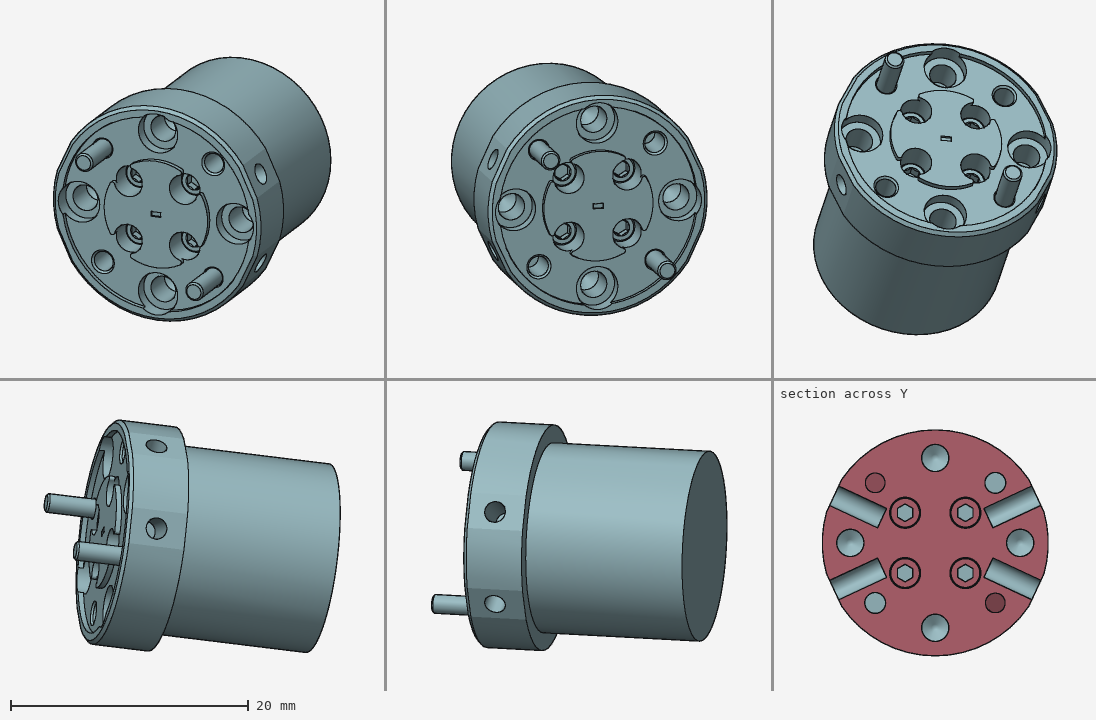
import cadquery as cq
import math


TOTAL_LENGTH = 22.27
PIN_PROJECTION = 3.65
FLANGE_DIAMETER = 19.05
FLANGE_THICKNESS = 5.08
FLANGE_CHAMFER = 0.3
BARREL_DIAMETER = 16.03

FLAT_ANGLE = 25.0
FLAT_DISTANCE = 9.4
SIDE_HOLE_DIAMETER = 1.78
SIDE_HOLE_DEPTH = 4.45

RECESS_DIAMETER = 17.2
RECESS_DEPTH = 0.47
BOSS_DIAMETER = 9.49
BOSS_NOTCH_OFFSET = 2.34
BOSS_CORNER_RADIUS = 0.2

MOUNT_RADIUS = 7.15
MOUNT_BORE_DIAMETER = 3.6
MOUNT_BORE_DEPTH = 1.6
MOUNT_HOLE_DIAMETER = 2.27
MOUNT_HOLE_DEPTH = 4.45
DRILL_POINT_ANGLE = 118.0
COUNTERSINK_ANGLE = 90.0

PIN_OFFSET = 5.05
PIN_DIAMETER = 1.6
PIN_CHAMFER = 0.15
PIN_HOLE_RIM_DIAMETER = 1.83
OPEN_HOLE_DIAMETER = 1.74
OPEN_HOLE_RIM_DIAMETER = 2.1
ALIGNMENT_HOLE_DEPTH = 4.0

SCREW_OFFSET = 2.54
SCREW_BORE_DIAMETER = 2.58
SCREW_TOP_DEPTH = 2.23
SCREW_HEAD_DIAMETER = 2.45
SCREW_HEAD_HEIGHT = 1.34
SCREW_HEAD_CHAMFER = 0.13
SOCKET_ACROSS_FLATS = 1.27
SOCKET_DEPTH = 0.9

WAVEGUIDE_WIDTH = 0.87
WAVEGUIDE_HEIGHT = 0.42
WAVEGUIDE_DEPTH = 0.22

SCREW_BORE_DEPTH = SCREW_TOP_DEPTH + SCREW_HEAD_HEIGHT
BARREL_END = TOTAL_LENGTH - PIN_PROJECTION
SOCKET_ACROSS_CORNERS = SOCKET_ACROSS_FLATS / math.cos(math.radians(30))
QUADRANTS = [(1, 1), (-1, 1), (-1, -1), (1, -1)]
MOUNT_POINTS = [(MOUNT_RADIUS, 0), (0, MOUNT_RADIUS), (-MOUNT_RADIUS, 0), (0, -MOUNT_RADIUS)]
SCREW_POINTS = [(SCREW_OFFSET * sx, SCREW_OFFSET * sz) for sx, sz in QUADRANTS]
PIN_POINTS = [(-PIN_OFFSET, PIN_OFFSET), (PIN_OFFSET, -PIN_OFFSET)]
OPEN_HOLE_POINTS = [(PIN_OFFSET, PIN_OFFSET), (-PIN_OFFSET, -PIN_OFFSET)]
FLAT_ANGLES = [FLAT_ANGLE, 180 - FLAT_ANGLE, 180 + FLAT_ANGLE, 360 - FLAT_ANGLE]


def plane_at(y):
    """Workplane at height y along the axis: local x is X, local y is Z, extrusion runs toward -Y."""
    return cq.Workplane("XZ", origin=(0, y, 0))


def cylinder(points, diameter, y_start, y_end):
    """Cylinders along Y at the given (x, z) points, from y_start to y_end."""
    return plane_at(y_start).pushPoints(points).circle(diameter / 2).extrude(y_start - y_end)


def cone(point, diameter, y_start, tip_angle):
    """Cone with its base at y_start that narrows to a tip toward +Y."""
    radius = diameter / 2
    height = radius / math.tan(math.radians(tip_angle / 2))
    x, z = point
    return cq.Workplane(cq.Solid.makeCone(radius, 0, height, cq.Vector(x, y_start, z), cq.Vector(0, 1, 0)))


def make_flange():
    """Disc with four side flats; a 45 degree chamfer follows the rim and the flats."""
    radius = FLANGE_DIAMETER / 2
    flange = cylinder([(0, 0)], FLANGE_DIAMETER, 0, FLANGE_THICKNESS)
    flange = flange.faces("<Y").edges().chamfer(FLANGE_CHAMFER)
    trim = (
        cq.Workplane("XY")
        .moveTo(FLAT_DISTANCE - FLANGE_CHAMFER, 0)
        .lineTo(FLAT_DISTANCE, FLANGE_CHAMFER)
        .lineTo(FLAT_DISTANCE, FLANGE_THICKNESS)
        .lineTo(radius, FLANGE_THICKNESS)
        .lineTo(radius, 0)
        .close()
        .extrude(radius, both=True)
    )
    for angle in FLAT_ANGLES:
        flange = flange.cut(trim.rotate((0, 0, 0), (0, 1, 0), -angle))
    return flange


def is_notch_edge(edge):
    """True for the upright boss edges at both ends of a notch side."""
    centre = edge.Center()
    nearest, farthest = sorted([abs(centre.x), abs(centre.z)])
    return nearest > BOSS_NOTCH_OFFSET / 2 and farthest > SCREW_OFFSET + SCREW_BORE_DIAMETER / 4


def make_boss():
    """Round boss with the screw bores and a notch outside each bore, rounded at the notch ends."""
    boss = cylinder([(0, 0)], BOSS_DIAMETER, 0, RECESS_DEPTH)
    notch_centre = BOSS_NOTCH_OFFSET + BOSS_DIAMETER / 2
    for sx, sz in QUADRANTS:
        notch = plane_at(RECESS_DEPTH).center(sx * notch_centre, sz * notch_centre)
        boss = boss.cut(notch.rect(BOSS_DIAMETER, BOSS_DIAMETER).extrude(RECESS_DEPTH))
    boss = boss.cut(make_screw_bores())
    return boss.edges("|Y").filter(is_notch_edge).fillet(BOSS_CORNER_RADIUS)


def make_face_recess():
    """Ring cut into the mating face that leaves the boss standing."""
    return cylinder([(0, 0)], RECESS_DIAMETER, 0, RECESS_DEPTH).cut(make_boss())


def make_side_holes():
    """Blind radial holes square to the side flats, halfway along the flange."""
    holes = cq.Workplane("XY")
    for angle in FLAT_ANGLES:
        outward = cq.Vector(math.cos(math.radians(angle)), 0, math.sin(math.radians(angle)))
        bottom = outward * (FLAT_DISTANCE - SIDE_HOLE_DEPTH) + cq.Vector(0, FLANGE_THICKNESS / 2, 0)
        holes = holes.add(
            cq.Solid.makeCylinder(SIDE_HOLE_DIAMETER / 2, FLANGE_DIAMETER, bottom, outward)
        )
    return holes.combine()


def make_mount_holes():
    """Counterbored blind holes with a drill point."""
    holes = cylinder(MOUNT_POINTS, MOUNT_BORE_DIAMETER, 0, MOUNT_BORE_DEPTH)
    holes = holes.union(cylinder(MOUNT_POINTS, MOUNT_HOLE_DIAMETER, 0, MOUNT_HOLE_DEPTH))
    for point in MOUNT_POINTS:
        holes = holes.union(cone(point, MOUNT_HOLE_DIAMETER, MOUNT_HOLE_DEPTH, DRILL_POINT_ANGLE))
    return holes


def make_alignment_holes(points, diameter, rim_diameter):
    """Blind holes from the recess floor with a countersunk rim."""
    holes = cylinder(points, diameter, RECESS_DEPTH, ALIGNMENT_HOLE_DEPTH)
    for point in points:
        holes = holes.union(cone(point, rim_diameter, RECESS_DEPTH, COUNTERSINK_ANGLE))
    return holes


def make_screw_bores():
    """Bores that surround the screw heads."""
    return cylinder(SCREW_POINTS, SCREW_BORE_DIAMETER, 0, SCREW_BORE_DEPTH)


def make_screw_heads():
    """Chamfered screw heads with a countersunk hexagonal socket."""
    socket_bottom = SCREW_TOP_DEPTH + SOCKET_DEPTH
    heads = cylinder(SCREW_POINTS, SCREW_HEAD_DIAMETER, SCREW_TOP_DEPTH, SCREW_BORE_DEPTH)
    heads = heads.faces("<Y").edges().chamfer(SCREW_HEAD_CHAMFER)
    for x, z in SCREW_POINTS:
        socket = plane_at(socket_bottom).center(x, z).transformed(rotate=(0, 0, 90))
        heads = heads.cut(socket.polygon(6, SOCKET_ACROSS_CORNERS).extrude(SOCKET_DEPTH))
        heads = heads.cut(cone((x, z), SOCKET_ACROSS_CORNERS, SCREW_TOP_DEPTH, COUNTERSINK_ANGLE))
    return heads


def make_waveguide():
    """Blind rectangular opening in the middle of the boss."""
    return plane_at(WAVEGUIDE_DEPTH).rect(WAVEGUIDE_WIDTH, WAVEGUIDE_HEIGHT).extrude(WAVEGUIDE_DEPTH)


def make_housing():
    """Flange and barrel with all holes and recesses."""
    housing = make_flange().union(cylinder([(0, 0)], BARREL_DIAMETER, FLANGE_THICKNESS, BARREL_END))
    housing = housing.cut(make_face_recess())
    housing = housing.cut(make_side_holes())
    housing = housing.cut(make_mount_holes())
    housing = housing.cut(make_alignment_holes(PIN_POINTS, PIN_DIAMETER, PIN_HOLE_RIM_DIAMETER))
    housing = housing.cut(make_alignment_holes(OPEN_HOLE_POINTS, OPEN_HOLE_DIAMETER, OPEN_HOLE_RIM_DIAMETER))
    housing = housing.cut(make_screw_bores())
    housing = housing.union(make_screw_heads())
    return housing.cut(make_waveguide())


def make_pin(point):
    """Alignment pin that reaches the bottom of its hole, with a chamfered free end."""
    pin = cylinder([point], PIN_DIAMETER, -PIN_PROJECTION, ALIGNMENT_HOLE_DEPTH)
    return pin.faces("<Y").edges().chamfer(PIN_CHAMFER)


housing = make_housing()
pins = [make_pin(point) for point in PIN_POINTS]

result = cq.Compound.makeCompound([housing.solids().val(), *[pin.solids().val() for pin in pins]])